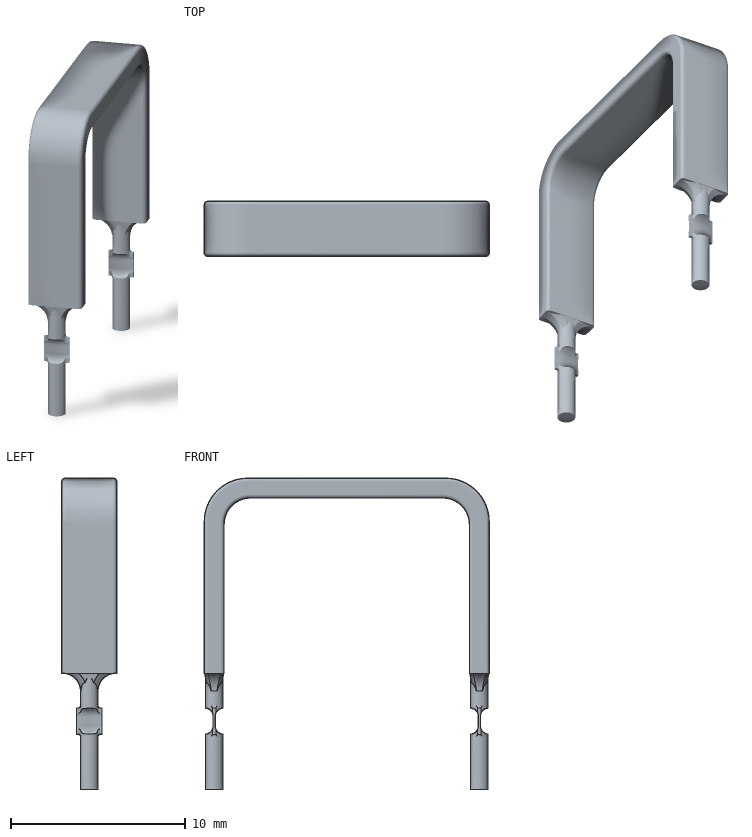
import cadquery as cq

SPAN = 16.38
HEIGHT = 17.89
STRIP_WIDTH = 3.17
STRIP_THICKNESS = 1.15
STRIP_BOTTOM = 6.67
OUTER_BEND_RADIUS = 2.5
INNER_BEND_RADIUS = 1.5
EDGE_RADIUS = 0.2

PIN_DIAMETER = 1.02
PIN_RADIUS = PIN_DIAMETER / 2
PIN_X = (SPAN - STRIP_THICKNESS) / 2

FLARE_RADIUS = 1.0
FLARE_TOP_THICKNESS = 1.10
FLARE_TIP_THICKNESS = 0.72
FLARE_BEVEL_ON_HOLLOW = 0.2
FLARE_BEVEL_ON_SIDE = 0.35

NECK_CENTRE_Z = 3.93
NECK_WIDTH = 1.48
NECK_HEIGHT = 1.52
NECK_BLEND_RADIUS = 0.12
TAB_THICKNESS = 0.2
WAIST_THICKNESS = 0.14
WAIST_HEIGHT = 0.6
SCOOP_RADIUS = PIN_RADIUS - WAIST_THICKNESS / 2


def arch_block(half_span, bottom, top, bend_radius):
    """Solid block across the strip width with both upper corners rounded."""
    return (
        cq.Workplane("XY")
        .box(2 * half_span, STRIP_WIDTH, top - bottom, centered=(True, True, False))
        .translate((0, 0, bottom))
        .edges("|Y and >Z")
        .fillet(bend_radius)
    )


def make_strip():
    outer = arch_block(SPAN / 2, STRIP_BOTTOM, HEIGHT, OUTER_BEND_RADIUS)
    inner = arch_block(
        SPAN / 2 - STRIP_THICKNESS,
        STRIP_BOTTOM,
        HEIGHT - STRIP_THICKNESS,
        INNER_BEND_RADIUS,
    )
    strip = outer.cut(inner)
    long_edges = strip.faces("<Y or >Y").edges("not(<Z)")
    return long_edges.fillet(EDGE_RADIUS)


def make_flare():
    """Tapered plate with a quarter-circle hollow on each side and bevelled edges."""
    tip_z = STRIP_BOTTOM - FLARE_RADIUS
    half_length = PIN_RADIUS + FLARE_RADIUS
    plate = (
        cq.Workplane("XZ")
        .polyline(
            [
                (-FLARE_TIP_THICKNESS / 2, tip_z),
                (FLARE_TIP_THICKNESS / 2, tip_z),
                (FLARE_TOP_THICKNESS / 2, STRIP_BOTTOM),
                (-FLARE_TOP_THICKNESS / 2, STRIP_BOTTOM),
            ]
        )
        .close()
        .extrude(half_length, both=True)
    )
    hollows = (
        cq.Workplane("YZ", origin=(0, 0, tip_z))
        .pushPoints([(-half_length, 0), (half_length, 0)])
        .circle(FLARE_RADIUS)
        .extrude(FLARE_TOP_THICKNESS, both=True)
    )
    flare = plate.cut(hollows)
    return flare.edges("%ELLIPSE").chamfer(FLARE_BEVEL_ON_SIDE, FLARE_BEVEL_ON_HOLLOW)


def make_scoop():
    """Slot cutter with round ends that thins the neck from the +X side."""
    scoop_length = WAIST_HEIGHT + 2 * SCOOP_RADIUS
    return (
        cq.Workplane("XZ", origin=(PIN_RADIUS, 0, NECK_CENTRE_Z))
        .slot2D(scoop_length, 2 * SCOOP_RADIUS, 90)
        .extrude(NECK_WIDTH, both=True)
    )


def make_pin():
    """One pin with its flare and thinned neck, centred on X = 0."""
    rod = cq.Workplane("XY").circle(PIN_RADIUS).extrude(STRIP_BOTTOM)
    neck_plate = (
        cq.Workplane("XY")
        .box(TAB_THICKNESS, NECK_WIDTH, NECK_HEIGHT)
        .translate((0, 0, NECK_CENTRE_Z))
    )
    blend_half_width = (PIN_RADIUS + NECK_WIDTH / 2) / 2 - NECK_BLEND_RADIUS / 2
    junction_edges = cq.selectors.BoxSelector(
        (-TAB_THICKNESS, -blend_half_width, NECK_CENTRE_Z - NECK_HEIGHT),
        (TAB_THICKNESS, blend_half_width, NECK_CENTRE_Z + NECK_HEIGHT),
    )
    pin = rod.union(neck_plate).edges(junction_edges).fillet(NECK_BLEND_RADIUS)
    scoop = make_scoop()
    pin = pin.cut(scoop).cut(scoop.mirror("YZ"))
    return pin.union(make_flare())


strip = make_strip()
pin = make_pin()
result = strip
for pin_x in (-PIN_X, PIN_X):
    result = result.union(pin.translate((pin_x, 0, 0)))